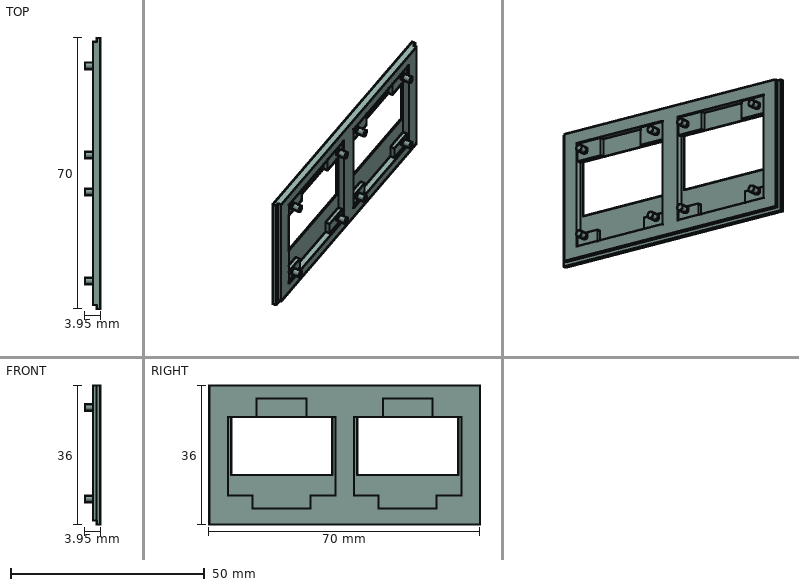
import cadquery as cq

plate_length = 70.0
plate_height = 36.0
plate_thickness = 1.95
rebate_depth = 1.0
side_rebate = 1.0
bottom_rebate = 1.05

bay_pitch = 32.55
bay_centers = [-bay_pitch / 2, bay_pitch / 2]
recess_width = 27.7
recess_bottom = 4.2
recess_top = plate_height - 3.35
recess_depth = 1.75
window_width = 26.05
window_bottom = 12.9
window_top = recess_top - 4.8

pad_drop = 0.55
upper_pad_width = 7.4
lower_pad_width = 6.4
lower_pad_height = 3.35

pin_diameter = 1.75
pin_length = 2.0
pin_pitch = 23.0
lower_pin_z = 6.65
upper_pin_z = plate_height - 5.75

pin_places = [
    (bay_y + side * pin_pitch / 2, z)
    for bay_y in bay_centers
    for side in (-1, 1)
    for z in (lower_pin_z, upper_pin_z)
]


def block(x_start, x_end, y_center, width, z_bottom, z_top):
    """Box between two X planes and two Z levels, centred on y_center."""
    return cq.Workplane("XY").box(
        x_end - x_start, width, z_top - z_bottom, centered=(False, True, False)
    ).translate((x_start, y_center, z_bottom))


def rod(x_start, x_end, y, z):
    """Round rod of the pin diameter along X."""
    return (
        cq.Workplane("YZ", origin=(x_start, y, z))
        .circle(pin_diameter / 2)
        .extrude(x_end - x_start)
    )


def make_blank():
    """Plate stepped back at the sides and the bottom, flush at the top."""
    flange = block(rebate_depth, plate_thickness, 0, plate_length, 0, plate_height)
    raised_width = plate_length - 2 * side_rebate
    raised = block(0, rebate_depth, 0, raised_width, bottom_rebate, plate_height)
    return flange.union(raised)


def make_pads(bay_y):
    """Four corner pads of one bay; the upper pair ends at the window's top edge."""
    pads = cq.Workplane("XY")
    for width, z_bottom, z_top in (
        (upper_pad_width, window_top, recess_top),
        (lower_pad_width, recess_bottom, recess_bottom + lower_pad_height),
    ):
        for side in (-1, 1):
            pad_y = bay_y + side * (recess_width - width) / 2
            pads = pads.add(block(pad_drop, recess_depth, pad_y, width, z_bottom, z_top))
    return pads


def make_housing():
    housing = make_blank()
    for bay_y in bay_centers:
        housing = housing.cut(block(0, recess_depth, bay_y, recess_width, recess_bottom, recess_top))
        housing = housing.cut(block(0, plate_thickness, bay_y, window_width, window_bottom, window_top))
        for pad in make_pads(bay_y).vals():
            housing = housing.union(cq.Workplane(pad))
    for y, z in pin_places:
        housing = housing.union(rod(0, pad_drop, y, z))
    return housing


def make_pin(y, z):
    return rod(-pin_length, 0, y, z)


housing = make_housing()
pins = [make_pin(y, z) for y, z in pin_places]

result = cq.Compound.makeCompound([housing.solids().val(), *[pin.val() for pin in pins]])